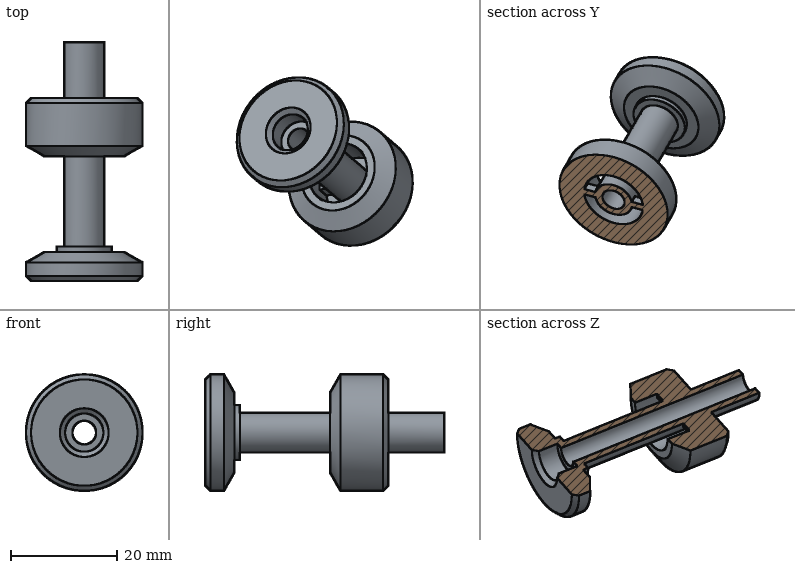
import cadquery as cq

LENGTH = 45.0
BODY_DIAMETER = 22.0
EDGE_CHAMFER = 1.0
CONE_LENGTH = 2.0
CONE_END_DIAMETER = 15.08

HEAD_LENGTH = 5.5
HUB_DIAMETER = 10.4
HUB_LENGTH = 1.05
SHAFT_DIAMETER = 7.55

COLLAR_START = 23.5
COLLAR_LENGTH = 11.0
COLLAR_BORE_DIAMETER = 11.85
COLLAR_BORE_DEPTH = 8.0

HOLE_DIAMETER = 4.4
RECESS_DIAMETER = 7.2
RECESS_DEPTH = 5.0
RECESS_MOUTH_CHAMFER = 1.0

RIB_THICKNESS = 1.5
RIB_SETBACK = 4.75

FRONT = -LENGTH / 2


def cylinder(diameter, start, length):
    """Cylinder along +Y, starting at a distance from the head face."""
    base = cq.Vector(0, FRONT + start, 0)
    return cq.Workplane(cq.Solid.makeCylinder(diameter / 2, length, base, cq.Vector(0, 1, 0)))


def cone(start_diameter, end_diameter, start, length):
    """Tapered round section along +Y, starting at a distance from the head face."""
    base = cq.Vector(0, FRONT + start, 0)
    axis = cq.Vector(0, 1, 0)
    return cq.Workplane(cq.Solid.makeCone(start_diameter / 2, end_diameter / 2, length, base, axis))


def make_head():
    """Disc with a chamfered face, a cone behind it and a small hub."""
    rim_length = HEAD_LENGTH - CONE_LENGTH
    rim = cylinder(BODY_DIAMETER, 0, rim_length).faces("<Y").chamfer(EDGE_CHAMFER)
    back = cone(BODY_DIAMETER, CONE_END_DIAMETER, rim_length, CONE_LENGTH)
    hub = cylinder(HUB_DIAMETER, HEAD_LENGTH, HUB_LENGTH)
    return rim.union(back).union(hub)


def make_collar():
    """Thick ring with a cone facing the head and a blind bore around the shaft."""
    rim_start = COLLAR_START + CONE_LENGTH
    rim_length = COLLAR_LENGTH - CONE_LENGTH
    rim = cylinder(BODY_DIAMETER, rim_start, rim_length).faces(">Y").chamfer(EDGE_CHAMFER)
    nose = cone(CONE_END_DIAMETER, BODY_DIAMETER, COLLAR_START, CONE_LENGTH)
    bore = cylinder(COLLAR_BORE_DIAMETER, COLLAR_START, COLLAR_BORE_DEPTH)
    return rim.union(nose).cut(bore)


def make_bore():
    """Through hole with a chamfered recess in the head face."""
    hole = cylinder(HOLE_DIAMETER, 0, LENGTH)
    recess = cylinder(RECESS_DIAMETER, 0, RECESS_DEPTH)
    mouth_diameter = RECESS_DIAMETER + 2 * RECESS_MOUTH_CHAMFER
    mouth = cone(mouth_diameter, RECESS_DIAMETER, 0, RECESS_MOUTH_CHAMFER)
    return hole.union(recess).union(mouth)


def make_ribs():
    """Two opposite ribs across the collar bore, from the setback to its floor."""
    length = COLLAR_BORE_DEPTH - RIB_SETBACK
    centre = FRONT + COLLAR_START + RIB_SETBACK + length / 2
    web = cq.Workplane().box(BODY_DIAMETER, length, RIB_THICKNESS).translate((0, centre, 0))
    return web.intersect(cylinder(COLLAR_BORE_DIAMETER, COLLAR_START, COLLAR_BORE_DEPTH))


shaft = cylinder(SHAFT_DIAMETER, 0, LENGTH)
result = shaft.union(make_head()).union(make_collar()).union(make_ribs()).cut(make_bore())